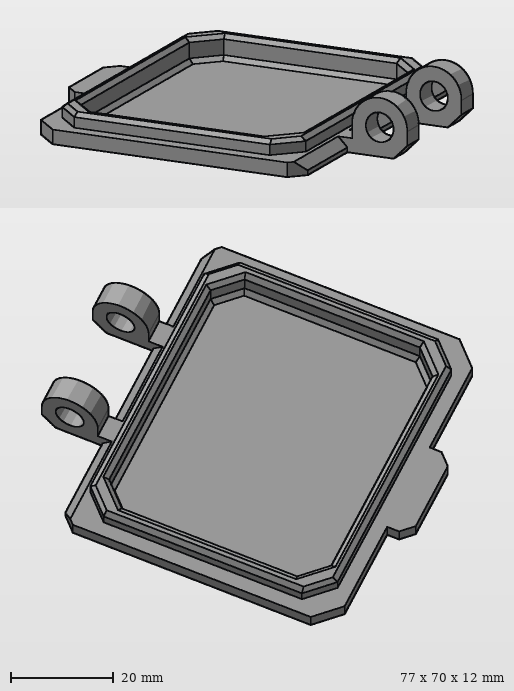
import cadquery as cq

total_length = 77.0
cover_width = 70.0

plate_thickness = 3.0
plate_left = 5.0
plate_right = 64.0
plate_corner = 5.0
trimmed_corner = 3.0
edge_bevel = 2.0

tab_width = 20.0
tab_corner = 2.5

rim_margin = 3.0
rim_left = plate_left + rim_margin
rim_right = 61.0
rim_width = cover_width - 2 * rim_margin
rim_corner = 5.2
rim_top = 6.0
rim_bevel_height = 0.85
rim_bevel_inset = 1.1
rim_bevel_corner = 4.3

pocket_floor = 1.0
floor_bevel_height = 0.9
mouth_size = (1.6, 2.0, 5.8)
wall_size = (2.7, 3.15, 5.0)
floor_size = (3.7, 4.2, 4.4)

lug_radius = 6.0
pin_diameter = 6.0
lug_width = 5.1
lug_offset = 11.9
pin_x = total_length - lug_radius
pin_z = 6.0
lug_heel = 3.0


def octagon(x_inset, y_inset, corner, z):
    """Rim outline moved inward, with its four corners cut at 45 degrees."""
    left = rim_left + x_inset
    right = rim_right - x_inset
    half = rim_width / 2 - y_inset
    points = [
        (left + corner, -half),
        (right - corner, -half),
        (right, -half + corner),
        (right, half - corner),
        (right - corner, half),
        (left + corner, half),
        (left, half - corner),
        (left, -half + corner),
    ]
    return cq.Wire.makePolygon([cq.Vector(x, y, z) for x, y in points], close=True)


def layer(lower, z_low, upper, z_high):
    """Straight-sided solid between two octagons at different heights."""
    wires = [octagon(*lower, z_low), octagon(*upper, z_high)]
    return cq.Workplane(obj=cq.Solid.makeLoft(wires, True))


def make_plate():
    half = cover_width / 2
    outline = [
        (plate_left + plate_corner, -half),
        (plate_right - trimmed_corner, -half),
        (plate_right, -half + trimmed_corner),
        (plate_right, half - trimmed_corner),
        (plate_right - trimmed_corner, half),
        (plate_left + plate_corner, half),
        (plate_left, half - plate_corner),
        (plate_left, -half + plate_corner),
    ]
    plate = cq.Workplane("XY").polyline(outline).close().extrude(plate_thickness)
    bevel = (
        cq.Workplane("XZ")
        .moveTo(plate_right - edge_bevel, plate_thickness)
        .lineTo(plate_right, plate_thickness)
        .lineTo(plate_right, plate_thickness - edge_bevel)
        .close()
        .extrude(half, both=True)
    )
    return plate.cut(bevel)


def make_tab():
    half = tab_width / 2
    outline = [
        (rim_left, -half),
        (tab_corner, -half),
        (0, -half + tab_corner),
        (0, half - tab_corner),
        (tab_corner, half),
        (rim_left, half),
    ]
    return cq.Workplane("XY").polyline(outline).close().extrude(plate_thickness)


def make_rim():
    base_size = (0, 0, rim_corner)
    top_size = (rim_bevel_inset, rim_bevel_inset, rim_bevel_corner)
    bevel_start = rim_top - rim_bevel_height
    body = layer(base_size, 0, base_size, bevel_start)
    return body.union(layer(base_size, bevel_start, top_size, rim_top))


def make_pocket():
    wall_bottom = pocket_floor + floor_bevel_height
    wall_top = rim_top - rim_bevel_height
    pocket = layer(floor_size, pocket_floor, wall_size, wall_bottom)
    pocket = pocket.union(layer(wall_size, wall_bottom, wall_size, wall_top))
    return pocket.union(layer(wall_size, wall_top, mouth_size, rim_top))


def make_lug(y_middle):
    root_x = plate_right - edge_bevel
    lug = (
        cq.Workplane("XZ")
        .moveTo(root_x, 0)
        .lineTo(total_length - lug_heel, 0)
        .lineTo(total_length, lug_heel)
        .lineTo(total_length, pin_z)
        .threePointArc((pin_x, pin_z + lug_radius), (pin_x - lug_radius, pin_z))
        .lineTo(pin_x - lug_radius, plate_thickness)
        .lineTo(root_x, plate_thickness)
        .close()
        .extrude(lug_width / 2, both=True)
    )
    pin_hole = (
        cq.Workplane("XZ")
        .center(pin_x, pin_z)
        .circle(pin_diameter / 2)
        .extrude(lug_width, both=True)
    )
    return lug.cut(pin_hole).translate((0, y_middle, 0))


result = make_plate().union(make_tab()).union(make_rim()).cut(make_pocket())
for side in (-1, 1):
    result = result.union(make_lug(side * lug_offset))